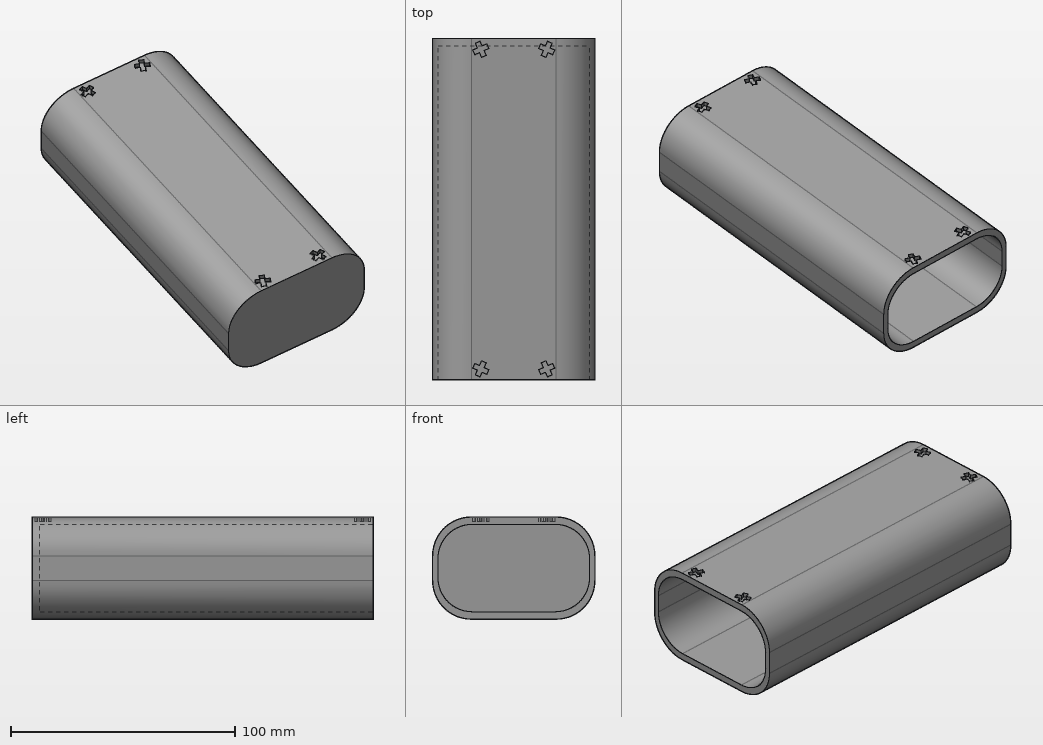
import cadquery as cq

width = 72.5
length = 152.4
height = 45.7
corner_radius = 17.4

side_wall = 2.5
top_wall = 3.4
end_wall = top_wall
cavity_corner_radius = 15.2

cross_span = 6.9
cross_arm_width = 2.3
cross_depth = 2.0
cross_tilt = 24.0
cross_spacing_x = 29.4
cross_end_gap = 4.9


def rounded_bar(bar_width, bar_height, bar_length, radius):
    """Bar along Y, centred on the origin, with its four long edges rounded."""
    return cq.Workplane("XY").box(bar_width, bar_length, bar_height).edges("|Y").fillet(radius)


def cross_cutter(x_side, y_side):
    """Tilted plus sign for one corner; neighbouring corners mirror each other."""
    tilt = -cross_tilt * x_side * y_side
    arm = cq.Workplane("XY").box(cross_span, cross_arm_width, 2 * cross_depth)
    crossing_arm = arm.rotate((0, 0, 0), (0, 0, 1), 90)
    center = (
        x_side * cross_spacing_x / 2,
        y_side * (length / 2 - cross_end_gap),
        height / 2,
    )
    return arm.union(crossing_arm).rotate((0, 0, 0), (0, 0, 1), tilt).translate(center)


body = rounded_bar(width, height, length, corner_radius)
cavity = rounded_bar(
    width - 2 * side_wall,
    height - 2 * top_wall,
    length,
    cavity_corner_radius,
).translate((0, -end_wall, 0))
result = body.cut(cavity)

for x_side in (-1, 1):
    for y_side in (-1, 1):
        result = result.cut(cross_cutter(x_side, y_side))